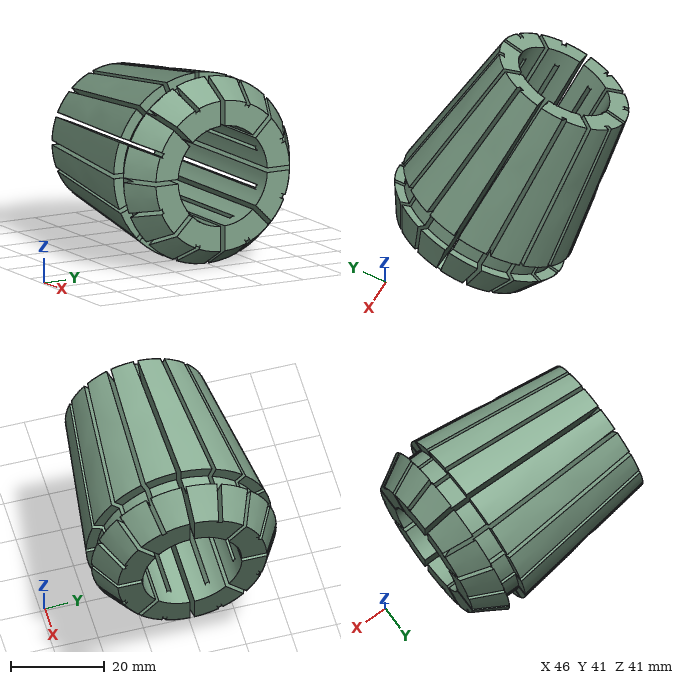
import cadquery as cq
import math

length = 46.0
max_radius = 41.0 / 2
bore_radius = 11.0

front_radius = 15.6
back_radius = 16.45
groove_radius = 18.12
groove_width = 4.15
head_length = 6.95
groove_end = length - head_length
groove_start = groove_end - groove_width

slots_per_set = 8
pitch_angle = 360 / slots_per_set
slot_width = 1.0
cutter_reach = 23.0

web_length = 3.5
front_web_radius = 14.5
back_web_radius = 16.0
saw_radius = 34.05
bore_overlap = 1.85


def make_body():
    """Taper, extraction groove and reverse-taper head around a plain bore."""
    profile = [
        (0, bore_radius),
        (0, front_radius),
        (groove_start, max_radius),
        (groove_start, groove_radius),
        (groove_end, groove_radius),
        (groove_end, max_radius),
        (length, back_radius),
        (length, bore_radius),
    ]
    return cq.Workplane("XY").polyline(profile).close().revolve(360, (0, 0, 0), (1, 0, 0))


def make_slot(web_radius):
    """Slot along +Y with its web at X = 0, where the floor is web_radius off the axis.

    The floor falls to the bore over web_length, hollowed by the saw, and runs on a little
    further towards the axis.
    """
    drop = web_radius - bore_radius
    chord = math.hypot(web_length, drop)
    center_distance = math.sqrt(saw_radius**2 - (chord / 2) ** 2)
    center_x = web_length / 2 + center_distance * drop / chord
    center_y = (web_radius + bore_radius) / 2 + center_distance * web_length / chord

    inner_y = bore_radius - bore_overlap
    floor_end_x = center_x - math.sqrt(saw_radius**2 - (center_y - inner_y) ** 2)
    return (
        cq.Workplane("XY")
        .moveTo(0, web_radius)
        .threePointArc((web_length, bore_radius), (floor_end_x, inner_y))
        .lineTo(length, inner_y)
        .lineTo(length, cutter_reach)
        .lineTo(0, cutter_reach)
        .close()
        .extrude(slot_width / 2, both=True)
    )


front_web_slot = make_slot(front_web_radius)
back_web_slot = make_slot(back_web_radius).mirror("YZ", (length / 2, 0, 0))

result = make_body()
for index in range(slots_per_set):
    angle = index * pitch_angle
    result = result.cut(front_web_slot.rotate((0, 0, 0), (1, 0, 0), angle))
    result = result.cut(back_web_slot.rotate((0, 0, 0), (1, 0, 0), angle + pitch_angle / 2))